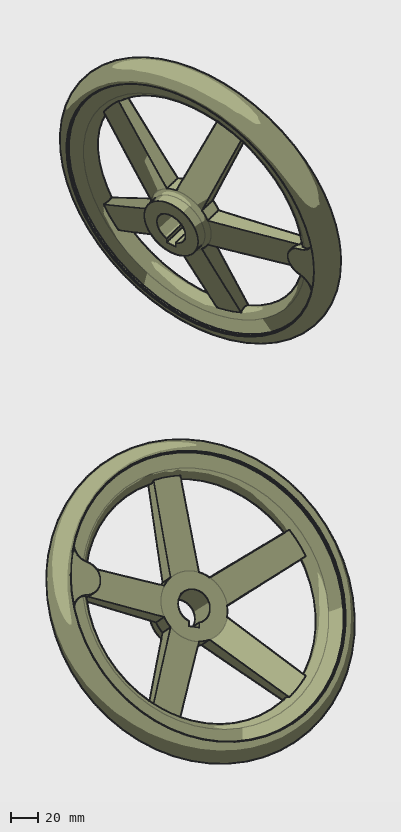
import cadquery as cq
import math


WHEEL_RADIUS = 125.0
TOTAL_DEPTH = 50.0
HUB_FACE_Y = -TOTAL_DEPTH

RIM_WIDTH = 26.0
GRIP_RADIUS = RIM_WIDTH / 2
GRIP_CENTRE_RADIUS = WHEEL_RADIUS - GRIP_RADIUS
RIM_MID_Y = -RIM_WIDTH / 2
RIM_INNER_RADIUS = 95.0
NOSE_RADIUS = 8.0
RIM_TAPER = math.radians(14)
GRIP_LIP_FILLET = 0.7

HUB_RADIUS = 49.0 / 2
HUB_LENGTH = 26.0
HUB_BACK_Y = HUB_FACE_Y + HUB_LENGTH
COLLAR_LENGTH = 8.3
HUB_FILLET = 4.0
BORE_RADIUS = 13.0
KEYWAY_WIDTH = 8.0
KEYWAY_BOTTOM = 16.3

SPOKE_COUNT = 5
SPOKE_ROOT_WIDTH = 25.0
SPOKE_TIP_WIDTH = 23.0
SPOKE_TIP_RADIUS = RIM_INNER_RADIUS + NOSE_RADIUS
WEB_FRONT_SLOPE = math.radians(16)
WEB_TIP_THICKNESS = 9.0

BOSS_RADIUS = 13.0
BOSS_CENTRE_RADIUS = 100.0
BOSS_FLARE_RADIUS = 13.0
BOSS_INSET = 2.4


def revolve_about_axis(profile):
    """Revolve a (radius, y) profile about the wheel axis."""
    return profile.close().revolve(360, (0, 0, 0), (0, 1, 0))


def make_rim():
    nose_centre = RIM_INNER_RADIUS + NOSE_RADIUS
    taper_end_radius = nose_centre - NOSE_RADIUS * math.sin(RIM_TAPER)
    taper_end_half = NOSE_RADIUS * math.cos(RIM_TAPER)
    taper_length = GRIP_CENTRE_RADIUS - taper_end_radius
    taper_start_half = taper_end_half + taper_length * math.tan(RIM_TAPER)
    profile = (
        cq.Workplane("XY")
        .moveTo(GRIP_CENTRE_RADIUS, RIM_MID_Y - GRIP_RADIUS)
        .threePointArc((WHEEL_RADIUS, RIM_MID_Y), (GRIP_CENTRE_RADIUS, RIM_MID_Y + GRIP_RADIUS))
        .lineTo(GRIP_CENTRE_RADIUS, RIM_MID_Y + taper_start_half)
        .lineTo(taper_end_radius, RIM_MID_Y + taper_end_half)
        .threePointArc((RIM_INNER_RADIUS, RIM_MID_Y), (taper_end_radius, RIM_MID_Y - taper_end_half))
        .lineTo(GRIP_CENTRE_RADIUS, RIM_MID_Y - taper_start_half)
    )
    return revolve_about_axis(profile).edges(">Y or <Y").fillet(GRIP_LIP_FILLET)


FILLET_CENTRE_RADIUS = HUB_RADIUS + HUB_FILLET
FILLET_START_Y = HUB_FACE_Y + COLLAR_LENGTH
FLARE_RADIUS = FILLET_CENTRE_RADIUS - HUB_FILLET * math.sin(WEB_FRONT_SLOPE)
FLARE_Y = FILLET_START_Y + HUB_FILLET * math.cos(WEB_FRONT_SLOPE)


def make_hub():
    mid_angle = (math.pi / 2 + WEB_FRONT_SLOPE) / 2 - WEB_FRONT_SLOPE
    fillet_mid = (
        FILLET_CENTRE_RADIUS - HUB_FILLET * math.cos(mid_angle),
        FILLET_START_Y + HUB_FILLET * math.sin(mid_angle),
    )
    profile = (
        cq.Workplane("XY")
        .moveTo(0, HUB_FACE_Y)
        .lineTo(HUB_RADIUS, HUB_FACE_Y)
        .lineTo(HUB_RADIUS, FILLET_START_Y)
        .threePointArc(fillet_mid, (FLARE_RADIUS, FLARE_Y))
        .lineTo(FLARE_RADIUS, HUB_BACK_Y)
        .lineTo(0, HUB_BACK_Y)
    )
    return revolve_about_axis(profile)


def make_web():
    tip_front_y = FLARE_Y + (SPOKE_TIP_RADIUS - FLARE_RADIUS) * math.tan(WEB_FRONT_SLOPE)
    profile = (
        cq.Workplane("XY")
        .moveTo(0, FLARE_Y)
        .lineTo(FLARE_RADIUS, FLARE_Y)
        .lineTo(SPOKE_TIP_RADIUS, tip_front_y)
        .lineTo(SPOKE_TIP_RADIUS, tip_front_y + WEB_TIP_THICKNESS)
        .lineTo(FLARE_RADIUS, HUB_BACK_Y)
        .lineTo(0, HUB_BACK_Y)
    )
    return revolve_about_axis(profile)


def make_spokes():
    blank = (
        cq.Workplane("XZ")
        .polyline([
            (0, -SPOKE_ROOT_WIDTH / 2),
            (SPOKE_TIP_RADIUS, -SPOKE_TIP_WIDTH / 2),
            (SPOKE_TIP_RADIUS, SPOKE_TIP_WIDTH / 2),
            (0, SPOKE_ROOT_WIDTH / 2),
        ])
        .close()
        .extrude(TOTAL_DEPTH)
    )
    spoke = blank.intersect(make_web())
    spokes = spoke
    for index in range(1, SPOKE_COUNT):
        angle = index * 360 / SPOKE_COUNT
        spokes = spokes.union(spoke.rotate((0, 0, 0), (0, 1, 0), angle))
    return spokes


def make_handle_boss():
    """Round boss that flares with tangent arcs into the inside of the grip."""
    to_axis = GRIP_CENTRE_RADIUS - BOSS_FLARE_RADIUS
    to_boss = BOSS_RADIUS + BOSS_FLARE_RADIUS
    flare_x = (to_axis**2 - to_boss**2 + BOSS_CENTRE_RADIUS**2) / (2 * BOSS_CENTRE_RADIUS)
    flare_z = math.sqrt(to_axis**2 - flare_x**2)

    boss_share = BOSS_RADIUS / to_boss
    boss_x = BOSS_CENTRE_RADIUS + (flare_x - BOSS_CENTRE_RADIUS) * boss_share
    boss_z = flare_z * boss_share
    grip_x = flare_x * GRIP_CENTRE_RADIUS / to_axis
    grip_z = flare_z * GRIP_CENTRE_RADIUS / to_axis

    bisector_x = (boss_x + grip_x) / 2 - flare_x
    bisector_z = (boss_z + grip_z) / 2 - flare_z
    bisector = math.hypot(bisector_x, bisector_z)
    mid_x = flare_x + BOSS_FLARE_RADIUS * bisector_x / bisector
    mid_z = flare_z + BOSS_FLARE_RADIUS * bisector_z / bisector

    return (
        cq.Workplane("XZ", origin=(0, -BOSS_INSET, 0))
        .moveTo(grip_x, grip_z)
        .threePointArc((mid_x, mid_z), (boss_x, boss_z))
        .threePointArc((BOSS_CENTRE_RADIUS - BOSS_RADIUS, 0), (boss_x, -boss_z))
        .threePointArc((mid_x, -mid_z), (grip_x, -grip_z))
        .threePointArc((GRIP_CENTRE_RADIUS, 0), (grip_x, grip_z))
        .close()
        .extrude(RIM_WIDTH - 2 * BOSS_INSET)
    )


def make_keyed_bore():
    bore = cq.Workplane("XZ").circle(BORE_RADIUS).extrude(TOTAL_DEPTH)
    keyway = (
        cq.Workplane("XZ")
        .center(0, -KEYWAY_BOTTOM / 2)
        .rect(KEYWAY_WIDTH, KEYWAY_BOTTOM)
        .extrude(TOTAL_DEPTH)
    )
    return bore.union(keyway)


result = (
    make_rim()
    .union(make_hub())
    .union(make_spokes())
    .union(make_handle_boss())
    .cut(make_keyed_bore())
)